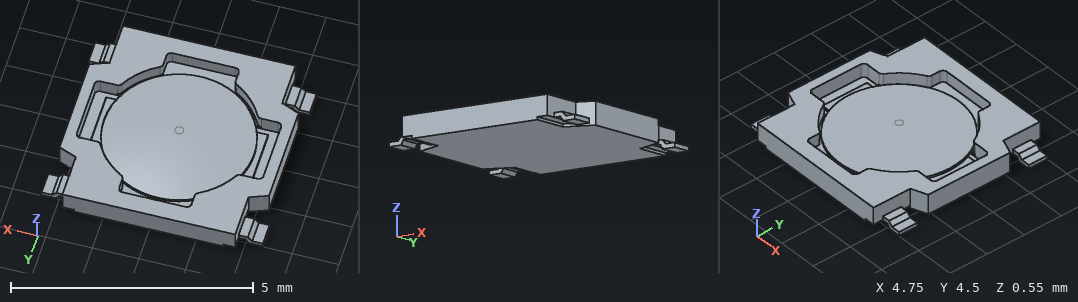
import cadquery as cq
import math

HOUSING_SIZE = 4.5
HOUSING_TOP = 0.55
HOUSING_BOTTOM = 0.04
END_HALF_WIDTH = 1.852
SHOULDER_Y = 1.1
SHOULDER_SLOPE = math.tan(math.radians(21))
UNDERCUT_TOP = 0.1
UNDERCUT_HALF_WIDTH = 1.6

SLOT_FLOOR = 0.2
POCKET_FLOOR = 0.25
POCKET_RADIUS = 1.662
SIDE_ARM_REACH = 2.0
SIDE_ARM_HALF_WIDTH = 0.75
END_ARM_REACH = 1.852
END_ARM_HALF_WIDTH = 0.775
POCKET_CORNER_RADIUS = 0.1

PAD_OUTER_X = 1.74
PAD_INNER_X = 1.188
PAD_WIDTH = 1.2
PAD_THICKNESS = POCKET_FLOOR - SLOT_FLOOR

DOME_RADIUS = 1.61
DOME_THICKNESS = 0.05
DOME_RISE = HOUSING_TOP - POCKET_FLOOR - DOME_THICKNESS
DOME_CROWN_RADIUS = 0.09

LEAD_TIP_X = 2.375
LEAD_WIDTH = 0.5
LEAD_SPACING = 3.495
LEAD_THICKNESS = 0.1
LEAD_LIFT = 0.1
FOOT_BEND_TOP_X = 2.145
FOOT_BEND_BOTTOM_X = 2.06
RISE_BEND_TOP_X = 2.05
RISE_BEND_BOTTOM_X = 2.0


def stepped_block(end_half_width, bottom, top):
    """Block with a full-width middle and sloped shoulders down to narrower ends."""
    half = HOUSING_SIZE / 2
    shoulder_end_y = SHOULDER_Y + (half - end_half_width) * SHOULDER_SLOPE
    quarter = [(half, SHOULDER_Y), (end_half_width, shoulder_end_y), (end_half_width, half)]
    right_side = [(x, -y) for x, y in reversed(quarter)] + quarter
    left_side = [(-x, -y) for x, y in right_side]
    outline = cq.Workplane("XY").workplane(offset=bottom).polyline(right_side + left_side).close()
    return outline.extrude(top - bottom)


def make_ledge(side):
    """Material left beside the slot, which carries the pocket floor under one end arm."""
    width = END_ARM_REACH - SIDE_ARM_HALF_WIDTH
    center_y = side * (END_ARM_REACH + SIDE_ARM_HALF_WIDTH) / 2
    floor = cq.Workplane("XY").workplane(offset=SLOT_FLOOR)
    return floor.center(0, center_y).rect(HOUSING_SIZE, width).extrude(POCKET_FLOOR - SLOT_FLOOR)


def make_pocket():
    """Cross-shaped pocket around a round middle, deepened by the slot along X."""
    depth = HOUSING_TOP - SLOT_FLOOR
    floor = cq.Workplane("XY").workplane(offset=SLOT_FLOOR)
    side_arms = floor.rect(2 * SIDE_ARM_REACH, 2 * SIDE_ARM_HALF_WIDTH).extrude(depth)
    end_arms = floor.rect(2 * END_ARM_HALF_WIDTH, 2 * END_ARM_REACH).extrude(depth)
    round_middle = floor.circle(POCKET_RADIUS).extrude(depth)
    pocket = round_middle.union(side_arms).union(end_arms).edges("|Z").fillet(POCKET_CORNER_RADIUS)
    for side in (-1, 1):
        pocket = pocket.cut(make_ledge(side))
    return pocket


def make_housing():
    base = stepped_block(UNDERCUT_HALF_WIDTH, HOUSING_BOTTOM, UNDERCUT_TOP)
    body = stepped_block(END_HALF_WIDTH, UNDERCUT_TOP, HOUSING_TOP)
    return base.union(body).cut(make_pocket())


def make_pad(side):
    length = PAD_OUTER_X - PAD_INNER_X
    center_x = side * (PAD_OUTER_X + PAD_INNER_X) / 2
    floor = cq.Workplane("XY").workplane(offset=SLOT_FLOOR)
    return floor.center(center_x, 0).rect(length, PAD_WIDTH).extrude(PAD_THICKNESS)


def make_dome():
    """Shallow spherical shell of even height, resting on its rim."""
    rim_bottom = POCKET_FLOOR
    rim_top = rim_bottom + DOME_THICKNESS
    sphere_radius = (DOME_RADIUS**2 + DOME_RISE**2) / (2 * DOME_RISE)

    def height(x):
        """Height of the spherical arc above the rim at distance x from the axis."""
        return math.sqrt(sphere_radius**2 - x**2) - (sphere_radius - DOME_RISE)

    crown = height(DOME_CROWN_RADIUS)
    mid_x = DOME_RADIUS / 2
    return (
        cq.Workplane("XZ")
        .moveTo(0, rim_bottom + crown)
        .lineTo(DOME_CROWN_RADIUS, rim_bottom + crown)
        .threePointArc((mid_x, rim_bottom + height(mid_x)), (DOME_RADIUS, rim_bottom))
        .lineTo(DOME_RADIUS, rim_top)
        .threePointArc((mid_x, rim_top + height(mid_x)), (DOME_CROWN_RADIUS, rim_top + crown))
        .lineTo(0, rim_top + crown)
        .close()
        .revolve(360, (0, 0, 0), (0, 1, 0))
    )


def make_lead(side, center_y):
    """Bent strip from the housing wall out and down to its foot."""
    profile = [
        (END_HALF_WIDTH, LEAD_LIFT),
        (RISE_BEND_BOTTOM_X, LEAD_LIFT),
        (FOOT_BEND_BOTTOM_X, 0),
        (LEAD_TIP_X, 0),
        (LEAD_TIP_X, LEAD_THICKNESS),
        (FOOT_BEND_TOP_X, LEAD_THICKNESS),
        (RISE_BEND_TOP_X, LEAD_LIFT + LEAD_THICKNESS),
        (END_HALF_WIDTH, LEAD_LIFT + LEAD_THICKNESS),
    ]
    points = [(side * x, z) for x, z in profile]
    lead = cq.Workplane("XZ").polyline(points).close().extrude(LEAD_WIDTH / 2, both=True)
    return lead.translate((0, center_y, 0))


pads = [make_pad(side) for side in (-1, 1)]
housing = make_housing()
dome = make_dome()
leads = [make_lead(side, end * LEAD_SPACING / 2) for side in (-1, 1) for end in (-1, 1)]

result = cq.Compound.makeCompound(
    [housing.val(), dome.val(), *[pad.val() for pad in pads], *[lead.val() for lead in leads]]
)